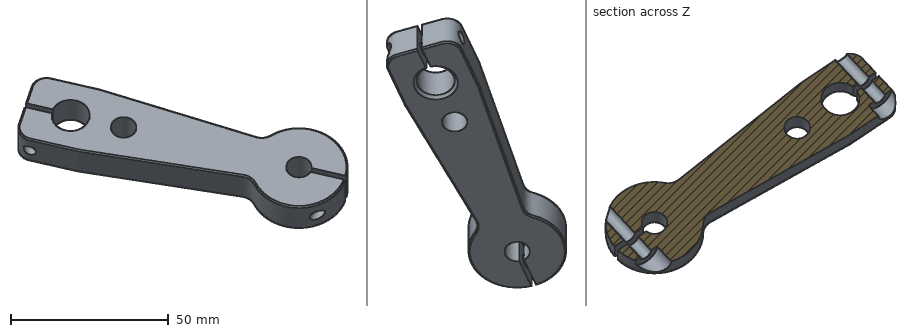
import cadquery as cq
import math

length = 105.5
thickness = 12.0
edge_chamfer = 0.5

square_width = 25.0
square_half = square_width / 2
corner_radius = 5.0
square_length = 21.0
square_bore_x = 15.0
square_bore_diameter = 12.0
bore_chamfer = 1.0

round_diameter = 31.0
round_radius = round_diameter / 2

neck_start_x = 73.8
neck_half = 8.0
neck_fillet = 5.0
bend_radius = 7.5
small_bore_diameter = 8.0
arm_hole_x = 32.4

slot_width = 1.6
round_x = length - math.sqrt(round_radius**2 - (slot_width / 2) ** 2)
screw_diameter = 4.2
head_diameter = 9.0
head_seat_y = 7.5
screw_positions = (corner_radius, 99.4)


def arm_blank():
    """Solid arm outline with blended corners and chamfered outer edges."""
    taper = (neck_half - square_half) / (neck_start_x - square_length)
    inner_half = square_half + taper * (round_x - square_length)
    taper_angle = math.atan(-taper)
    bend_reach = bend_radius * math.tan(taper_angle / 2)
    bend_start_x = square_length - bend_reach
    bend_end_x = square_length + bend_reach * math.cos(taper_angle)
    bend_end_half = square_half - bend_reach * math.sin(taper_angle)
    arm = (
        cq.Workplane("XY")
        .moveTo(0, 0)
        .lineTo(0, square_half)
        .lineTo(bend_start_x, square_half)
        .tangentArcPoint((bend_end_x, bend_end_half), relative=False)
        .lineTo(round_x, inner_half)
        .lineTo(round_x, 0)
        .mirrorX()
        .extrude(thickness)
    )
    arm = arm.edges("|Z").edges("<X").fillet(corner_radius)
    disc = cq.Workplane("XY").center(round_x, 0).circle(round_radius).extrude(thickness)
    blank = arm.union(disc)
    necks = cq.selectors.BoxSelector(
        (neck_start_x, -round_radius, 0), (round_x, round_radius, thickness)
    )
    blank = blank.edges("|Z").edges(necks).fillet(neck_fillet)
    return blank.faces("<Z or >Z").edges().chamfer(edge_chamfer)


def upright_hole(x, diameter):
    return cq.Workplane("XY").center(x, 0).circle(diameter / 2).extrude(thickness)


def slot(x_start, x_end):
    return cq.Workplane("XY").box(
        x_end - x_start, slot_width, thickness, centered=(False, True, False)
    ).translate((x_start, 0, 0))


def cross_cylinder(x, diameter, y_start, y_end):
    """Cylinder along Y at mid-thickness."""
    return cq.Workplane(
        cq.Solid.makeCylinder(
            diameter / 2,
            y_end - y_start,
            cq.Vector(x, y_start, thickness / 2),
            cq.Vector(0, 1, 0),
        )
    )


result = arm_blank()

for x, diameter in (
    (square_bore_x, square_bore_diameter),
    (arm_hole_x, small_bore_diameter),
    (round_x, small_bore_diameter),
):
    result = result.cut(upright_hole(x, diameter))
lead_in = cq.Solid.makeCone(
    square_bore_diameter / 2 + bore_chamfer,
    square_bore_diameter / 2,
    bore_chamfer,
    cq.Vector(square_bore_x, 0, 0),
    cq.Vector(0, 0, 1),
)
result = result.cut(cq.Workplane(lead_in))

result = result.cut(slot(0, square_bore_x)).cut(slot(round_x, round_x + round_radius))

for x in screw_positions:
    result = result.cut(cross_cylinder(x, screw_diameter, -round_radius, round_radius))
    result = result.cut(cross_cylinder(x, head_diameter, head_seat_y, round_radius))